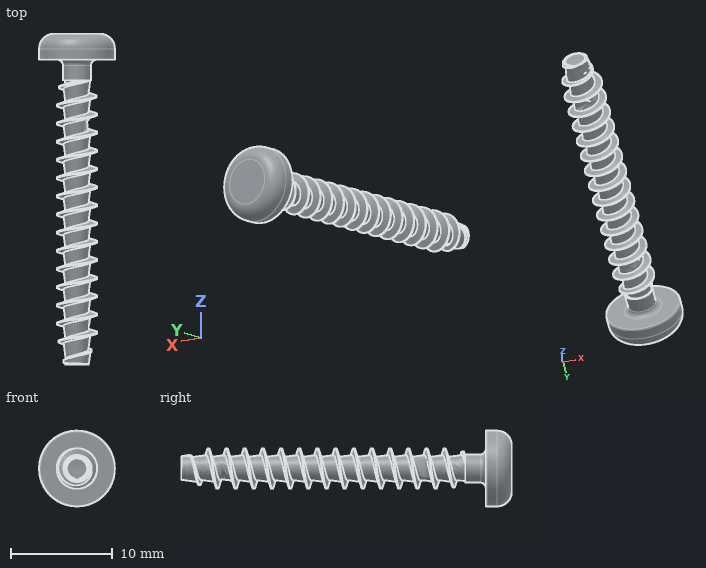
import cadquery as cq
import math


head_diameter = 7.5
head_height = 2.6
head_dome_radius = 1.5
head_rim_fillet = 0.1

neck_radius = 1.4
neck_length = 2.0
neck_fillet = 0.5

tip_depth = 29.99
tip_dish_depth = 0.08
tip_rim_radius = 1.14
core_radius = 1.08
pitch = 1.79
crest_radius = 2.0
crest_half_width = 0.05
flank_angle = math.radians(15)

root_peak_radius = 1.35
root_low_radius = 1.13
root_end_margin = 0.08

run_in_depth = 3.75
run_in_slope = 0.2
run_out_depth = 27.3
run_out_slope = 0.39

buried_radius = 1.0
ridge_first_depth = neck_length - pitch
thread_end_height = 0.05
run_out_length = (crest_radius - buried_radius - thread_end_height) / run_out_slope
thread_last_depth = run_out_depth + run_out_length
root_last_depth = tip_depth + pitch / 2
points_per_turn = 10


def thread_section(depth):
    """Corners (radius, axial offset towards the tip) of the thread at one depth."""
    run_in = crest_radius - run_in_slope * max(0, run_in_depth - depth)
    run_out = crest_radius - run_out_slope * max(0, depth - run_out_depth)
    crest = min(run_in, run_out)
    base_half_width = crest_half_width + (crest - buried_radius) * math.tan(flank_angle)
    return [
        (buried_radius, -base_half_width),
        (crest, -crest_half_width),
        (crest, crest_half_width),
        (buried_radius, base_half_width),
    ]


def root_section(depth):
    """Corners of the sloping root, which ends inside the threads on either side."""
    root_end = pitch - root_end_margin
    return [
        (buried_radius, root_end_margin),
        (root_peak_radius, root_end_margin),
        (root_low_radius, root_end),
        (buried_radius, root_end),
    ]


def helix_point(depth, radius, offset):
    """Point of a right-hand helix that meets +X at every whole pitch of depth."""
    angle = math.tau * depth / pitch
    return cq.Vector(radius * math.cos(angle), -(depth + offset), radius * math.sin(angle))


def make_ridge(section, last_depth):
    """Solid swept along the helix by a section that may change with depth."""
    span = last_depth - ridge_first_depth
    steps = math.ceil(span / pitch * points_per_turn)
    depths = [ridge_first_depth + span * step / steps for step in range(steps + 1)]
    outlines = [
        [helix_point(depth, radius, offset) for radius, offset in section(depth)]
        for depth in depths
    ]
    edges = [
        cq.Edge.makeSpline(list(corner_path), parameters=depths)
        for corner_path in zip(*outlines)
    ]
    faces = [
        cq.Face.makeRuledSurface(edge, edges[(index + 1) % len(edges)])
        for index, edge in enumerate(edges)
    ]
    for end_outline in (outlines[0], outlines[-1]):
        faces.append(cq.Face.makeFromWires(cq.Wire.makePolygon(end_outline, close=True)))
    return cq.Solid.makeSolid(cq.Shell.makeShell(faces)).fix()


def trim_to_shank(ridge):
    """Keep the part of a ridge between the neck and the bevelled tip."""
    shank_space_radius = head_diameter / 2
    shank_space = (
        cq.Workplane("XZ", origin=(0, -neck_length, 0))
        .circle(shank_space_radius)
        .extrude(tip_depth - neck_length)
        .faces("<Y")
        .chamfer(shank_space_radius - tip_rim_radius)
    )
    return cq.Workplane(obj=shank_space.val().intersect(ridge).Solids()[0])


def make_blank():
    """Head, filleted neck and core with a dished tip, revolved about the screw axis."""
    head_radius = head_diameter / 2
    diagonal = math.sqrt(0.5)
    dome_centre = (head_radius - head_dome_radius, head_height - head_dome_radius)
    neck_centre = (neck_radius + neck_fillet, -neck_fillet)
    rim_centre = (head_radius - head_rim_fillet, head_rim_fillet)

    def arc_middle(centre, radius, x_sign, y_sign):
        return (centre[0] + x_sign * radius * diagonal, centre[1] + y_sign * radius * diagonal)

    return (
        cq.Workplane("XY")
        .moveTo(0, tip_dish_depth - tip_depth)
        .lineTo(core_radius, -tip_depth)
        .lineTo(core_radius, -neck_length)
        .lineTo(neck_radius, -neck_length)
        .lineTo(neck_radius, -neck_fillet)
        .threePointArc(arc_middle(neck_centre, neck_fillet, -1, 1), (neck_centre[0], 0))
        .lineTo(rim_centre[0], 0)
        .threePointArc(
            arc_middle(rim_centre, head_rim_fillet, 1, -1), (head_radius, head_rim_fillet)
        )
        .lineTo(head_radius, dome_centre[1])
        .threePointArc(
            arc_middle(dome_centre, head_dome_radius, 1, 1), (dome_centre[0], head_height)
        )
        .lineTo(0, head_height)
        .close()
        .revolve(360, (0, 0, 0), (0, 1, 0))
    )


root = trim_to_shank(make_ridge(root_section, root_last_depth))
thread = trim_to_shank(make_ridge(thread_section, thread_last_depth))
result = make_blank().union(thread).union(root)